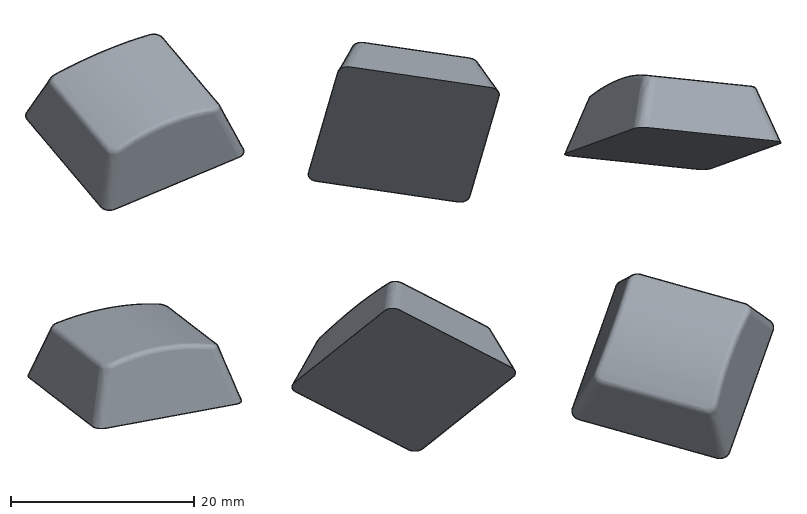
import cadquery as cq

base_side = 18.0
height = 7.2
top_width = 13.28
top_depth = 13.5
corner_radius = 1.2
crown_radius = 25.74
rim_radius = 0.65


def tapered_body():
    """Frustum on a square base with its slanted corner edges rounded."""
    frustum = (
        cq.Workplane("XY")
        .rect(base_side, base_side)
        .workplane(offset=height)
        .rect(top_width, top_depth)
        .loft(ruled=True)
    )
    return frustum.edges("not #Z").fillet(corner_radius)


def crown():
    """Cylinder along X, as long as the base, whose highest line is the crown of the keycap."""
    return (
        cq.Workplane("YZ", origin=(-base_side / 2, 0, height - crown_radius))
        .circle(crown_radius)
        .extrude(base_side)
    )


crowned_body = tapered_body().intersect(crown())

crowned_face = crowned_body.faces(cq.selectors.NearestToPointSelector((0, 0, height)))
result = crowned_face.edges().fillet(rim_radius)